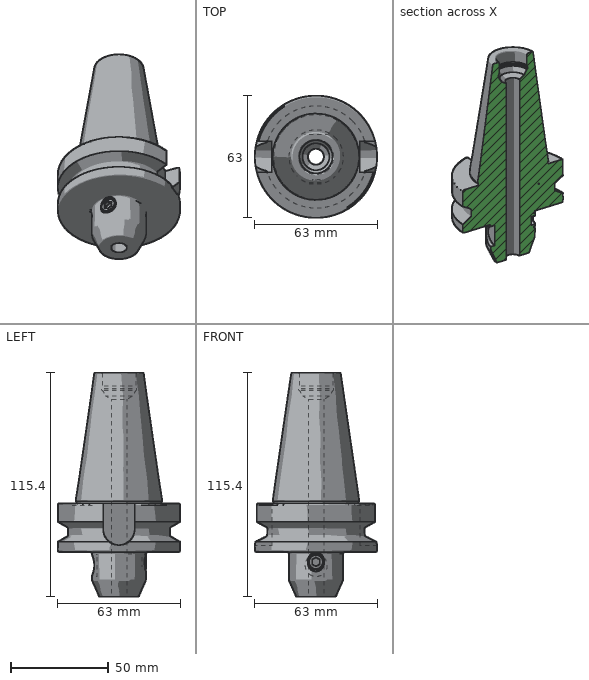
import cadquery as cq
import math

TOLERANCE = 0.001

overall_length = 115.4
gauge_radius = 22.3
gauge_height = 50.0
taper_ratio = 7 / 24
tip_radius = gauge_radius - (overall_length - gauge_height) * taper_ratio / 2
tip_fillet = 0.9
gauge_band = 0.7
neck_radius = 21.8
neck_foot_fillet = 0.7

flange_radius = 31.5
flange_top = 48.1
flange_bottom = 23.1
flange_rim_fillet = 0.9
groove_radius = 26.3
groove_centre = 33.5
groove_root_width = 4.3
groove_mouth_width = 10.2
groove_root_fillet = 0.9

slot_width = 16.2
slot_floor = 22.6
slot_bottom = 26.7

nose_radius = 14.0
nose_cone_height = 8.5
nose_end_radius = 10.2
nose_end_fillet = 0.9
nose_foot_fillet = 0.9
nose_shoulder_fillet = 2.0

bore_radius = 4.0
mouth_radius = 8.5
mouth_depth = 6.8
mouth_fillet = 1.0
relief_radius = 9.0
relief_top_depth = 8.0
relief_bottom_depth = 8.8
seat_depth = 9.1
seat_angle = 30
seat_end_radius = 6.9
bore_tip_angle = 59

screw_height = 18.0
screw_radius = 4.0
screw_tip_chamfer = 0.5
screw_hex_flats = 4.0
screw_hex_depth = 2.3
screw_hex_half_angle = 30
screw_countersink = 5.0

recess_height = 16.3
recess_radius = 5.7
recess_floor = 11.5


def radial_cylinder(radius, height, start, length):
    """Cylinder along Y at the given height, running from y = start towards +Y."""
    centre = cq.Vector(0, start, height)
    return cq.Workplane(cq.Solid.makeCylinder(radius, length, centre, cq.Vector(0, 1, 0)))


def make_body():
    groove_low = groove_centre - groove_mouth_width / 2
    groove_high = groove_centre + groove_mouth_width / 2
    root_low = groove_centre - groove_root_width / 2
    root_high = groove_centre + groove_root_width / 2
    profile = (
        cq.Workplane("XZ")
        .moveTo(0, 0)
        .lineTo(nose_end_radius, 0)
        .lineTo(nose_radius, nose_cone_height)
        .lineTo(nose_radius, flange_bottom)
        .lineTo(flange_radius, flange_bottom)
        .lineTo(flange_radius, groove_low)
        .lineTo(groove_radius, root_low)
        .lineTo(groove_radius, root_high)
        .lineTo(flange_radius, groove_high)
        .lineTo(flange_radius, flange_top)
        .lineTo(neck_radius, flange_top)
        .lineTo(neck_radius, gauge_height - gauge_band)
        .lineTo(gauge_radius, gauge_height - gauge_band)
        .lineTo(gauge_radius, gauge_height)
        .lineTo(tip_radius, overall_length)
        .lineTo(0, overall_length)
        .close()
    )
    return profile.revolve(360, (0, 0), (0, 1))


def round_ring(body, radius, height, fillet):
    """Fillet the full circular edge of this radius and height."""
    def is_ring(edge):
        at_height = abs(edge.Center().z - height) < TOLERANCE
        return at_height and abs(edge.radius() - radius) < TOLERANCE

    return body.edges("%CIRCLE").filter(is_ring).fillet(fillet)


def round_outer_rings(body):
    rings = [
        (tip_radius, overall_length, tip_fillet),
        (neck_radius, flange_top, neck_foot_fillet),
        (flange_radius, flange_top, flange_rim_fillet),
        (flange_radius, flange_bottom, flange_rim_fillet),
        (groove_radius, groove_centre + groove_root_width / 2, groove_root_fillet),
        (groove_radius, groove_centre - groove_root_width / 2, groove_root_fillet),
        (nose_radius, flange_bottom, nose_foot_fillet),
        (nose_radius, nose_cone_height, nose_shoulder_fillet),
        (nose_end_radius, 0, nose_end_fillet),
    ]
    for radius, height, fillet in rings:
        body = round_ring(body, radius, height, fillet)
    return body


def cut_axial_bores(body):
    """Through bore, with a relieved mouth and a seat cone at the small end of the taper."""
    seat_top = overall_length - seat_depth
    seat_bottom = seat_top - (mouth_radius - seat_end_radius) / math.tan(math.radians(seat_angle))
    tip_bottom = seat_bottom - (seat_end_radius - bore_radius) / math.tan(math.radians(bore_tip_angle))
    bores = (
        cq.Workplane("XZ")
        .moveTo(0, 0)
        .lineTo(bore_radius, 0)
        .lineTo(bore_radius, tip_bottom)
        .lineTo(seat_end_radius, seat_bottom)
        .lineTo(mouth_radius, seat_top)
        .lineTo(relief_radius, overall_length - relief_bottom_depth)
        .lineTo(relief_radius, overall_length - relief_top_depth)
        .lineTo(mouth_radius, overall_length - mouth_depth)
        .lineTo(mouth_radius, overall_length)
        .lineTo(0, overall_length)
        .close()
        .revolve(360, (0, 0), (0, 1))
    )
    return round_ring(body.cut(bores), mouth_radius, overall_length, mouth_fillet)


def cut_drive_slots(body):
    """Two slots with a round lower end, open at the top and at the +X and -X sides."""
    slot_radius = slot_width / 2
    arc_height = slot_bottom + slot_radius
    slot_depth = flange_radius - slot_floor
    for side in (1, -1):
        slot = (
            cq.Workplane("YZ", origin=(side * slot_floor, 0, 0))
            .moveTo(-slot_radius, flange_top)
            .lineTo(-slot_radius, arc_height)
            .threePointArc((0, slot_bottom), (slot_radius, arc_height))
            .lineTo(slot_radius, flange_top)
            .close()
            .extrude(side * slot_depth)
        )
        body = body.cut(slot)
    return body


def add_clamping_screw(body):
    """Countersunk radial hole holding a set screw that ends level with the nose."""
    axis = cq.Vector(0, 1, 0)
    entry = cq.Vector(0, -nose_radius, screw_height)
    countersink_depth = screw_countersink - screw_radius
    countersink = cq.Solid.makeCone(screw_countersink, screw_radius, countersink_depth, entry, axis)
    screw_length = nose_radius - bore_radius
    screw = (
        radial_cylinder(screw_radius, screw_height, -nose_radius, screw_length)
        .faces("<Y")
        .chamfer(screw_tip_chamfer)
    )
    hexagon = (
        cq.Workplane("XZ", origin=(0, -nose_radius, screw_height))
        .transformed(rotate=(0, 0, screw_hex_half_angle))
        .polygon(6, screw_hex_flats / math.cos(math.radians(screw_hex_half_angle)))
        .extrude(-screw_hex_depth)
    )
    return body.cut(cq.Workplane(countersink)).union(screw).cut(hexagon)


def cut_balancing_recess(body):
    recess = radial_cylinder(recess_radius, recess_height, recess_floor, nose_radius - recess_floor)
    return body.cut(recess)


result = make_body()
result = round_outer_rings(result)
result = cut_axial_bores(result)
result = cut_drive_slots(result)
result = add_clamping_screw(result)
result = cut_balancing_recess(result)